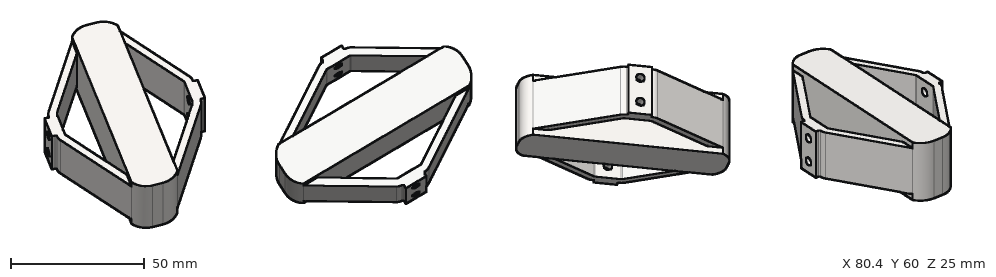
import cadquery as cq
import math

block_length = 80.41
block_width = 18.0
block_height = 25.0

frame_height = 20.0
frame_width = 60.0
strut_angle = math.radians(32.45)
strut_thickness = 3.2
bridge_inner_y = 25.0
shoulder_y = bridge_inner_y + strut_thickness
shoulder_radius = 4.0
inner_corner_radius = shoulder_radius - strut_thickness

pad_width = 9.0
pad_root_radius = 0.5

hole_diameter = 3.2
hole_spacing = 10.0

half_length = block_length / 2
half_width = block_width / 2
half_pad = pad_width / 2
pad_tip_y = frame_width / 2
strut_slope = math.tan(strut_angle)

shoulder_x = half_pad + pad_root_radius
strut_top_x = shoulder_x + shoulder_radius * math.sin(strut_angle)
strut_top_y = shoulder_y - shoulder_radius * (1 - math.cos(strut_angle))

strut_foot_x = strut_top_x + (strut_top_y - half_width) / strut_slope

end_radius = (half_length - strut_foot_x) / (1 - math.sin(strut_angle))
end_center_x = half_length - end_radius
end_flat_y = half_width - end_radius * math.cos(strut_angle)

shoulder_center_y = shoulder_y - shoulder_radius
inner_foot_x = strut_foot_x - strut_thickness / math.sin(strut_angle)


def arc_point(center_x, center_y, radius, angle):
    """Point on a circle at an angle measured from +X."""
    return (center_x + radius * math.cos(angle), center_y + radius * math.sin(angle))


def mirror_x(point):
    return (-point[0], point[1])


def mirror_y(point):
    return (point[0], -point[1])


def extrude_centered(outline, height):
    return outline.extrude(height / 2, both=True)


def make_block():
    """Solid bar with rounded corners at both ends."""
    foot = (strut_foot_x, half_width)
    flat = (half_length, end_flat_y)
    middle_angle = (math.pi / 2 - strut_angle) / 2
    middle = arc_point(end_center_x, end_flat_y, end_radius, middle_angle)
    outline = (
        cq.Workplane("XY")
        .moveTo(*mirror_x(foot))
        .lineTo(*foot)
        .threePointArc(middle, flat)
        .lineTo(*mirror_y(flat))
        .threePointArc(mirror_y(middle), mirror_y(foot))
        .lineTo(*mirror_y(mirror_x(foot)))
        .threePointArc(mirror_y(mirror_x(middle)), mirror_y(mirror_x(flat)))
        .lineTo(*mirror_x(flat))
        .threePointArc(mirror_x(middle), mirror_x(foot))
        .close()
    )
    return extrude_centered(outline, block_height)


def make_frame_side():
    """Two struts joined by a bridge and pad on the +Y side."""
    outer_foot = (strut_foot_x, half_width)
    strut_top = (strut_top_x, strut_top_y)
    corner_middle_angle = math.pi / 2 - strut_angle / 2
    shoulder_middle = arc_point(shoulder_x, shoulder_center_y, shoulder_radius, corner_middle_angle)
    shoulder = (shoulder_x, shoulder_y)
    root_center_y = shoulder_y + pad_root_radius
    root_middle = arc_point(shoulder_x, root_center_y, pad_root_radius, -3 * math.pi / 4)
    root_top = (half_pad, root_center_y)
    pad_corner = (half_pad, pad_tip_y)
    bridge_end = (shoulder_x, bridge_inner_y)
    inner_middle = arc_point(shoulder_x, shoulder_center_y, inner_corner_radius, corner_middle_angle)
    inner_top = arc_point(
        shoulder_x, shoulder_center_y, inner_corner_radius, math.pi / 2 - strut_angle
    )
    inner_foot = (inner_foot_x, half_width)
    outline = (
        cq.Workplane("XY")
        .moveTo(*outer_foot)
        .lineTo(*strut_top)
        .threePointArc(shoulder_middle, shoulder)
        .threePointArc(root_middle, root_top)
        .lineTo(*pad_corner)
        .lineTo(*mirror_x(pad_corner))
        .lineTo(*mirror_x(root_top))
        .threePointArc(mirror_x(root_middle), mirror_x(shoulder))
        .threePointArc(mirror_x(shoulder_middle), mirror_x(strut_top))
        .lineTo(*mirror_x(outer_foot))
        .lineTo(*mirror_x(inner_foot))
        .lineTo(*mirror_x(inner_top))
        .threePointArc(mirror_x(inner_middle), mirror_x(bridge_end))
        .lineTo(*bridge_end)
        .threePointArc(inner_middle, inner_top)
        .lineTo(*inner_foot)
        .close()
    )
    return extrude_centered(outline, frame_height)


def make_pad_holes():
    """Cutters for the two holes through the +Y pad and bridge, along Y."""
    return (
        cq.Workplane("XZ", origin=(0, pad_tip_y, 0))
        .rarray(1, hole_spacing, 1, 2)
        .circle(hole_diameter / 2)
        .extrude(pad_tip_y - bridge_inner_y)
    )


frame_side = make_frame_side().cut(make_pad_holes())
result = make_block().union(frame_side).union(frame_side.mirror("XZ"))